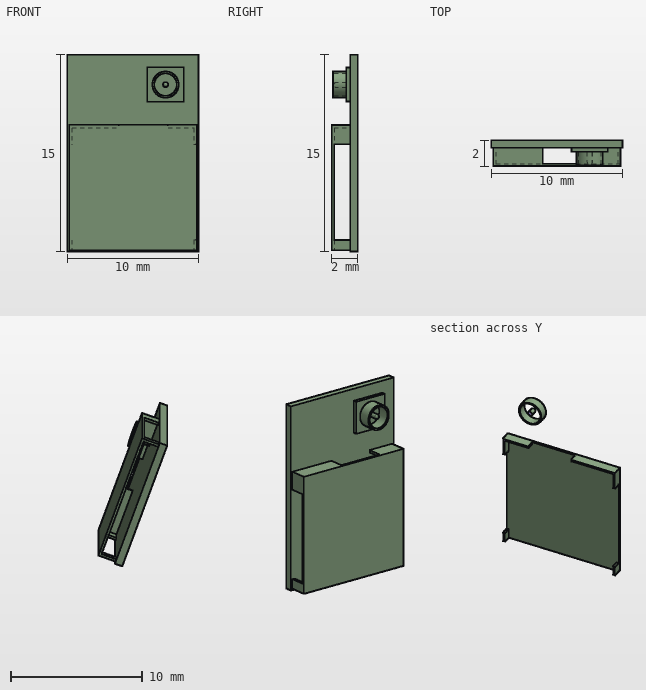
import cadquery as cq


BOARD_WIDTH = 10.0
BOARD_HEIGHT = 15.0
BOARD_THICKNESS = 0.6

SHIELD_WIDTH = 9.7
SHIELD_HEIGHT = 9.54
SHIELD_DEPTH = 1.4
SHIELD_BOTTOM = 0.1
SHIELD_WALL = 0.2
WINDOW_DEPTH = SHIELD_DEPTH - SHIELD_WALL
TOP_WINDOW_LEFT = 3.8
TOP_WINDOW_WIDTH = 3.7
SIDE_WINDOW_BOTTOM = 0.8
SIDE_WINDOW_HEIGHT = 7.28

CONNECTOR_X = 2.49
CONNECTOR_Z = 12.72
BASE_WIDTH = 2.76
BASE_HEIGHT = 2.61
BASE_THICKNESS = 0.3
SLEEVE_RADIUS = 1.0
SLEEVE_BORE_RADIUS = 0.85
SLEEVE_LENGTH = 1.0
PIN_RADIUS = 0.2
PIN_LENGTH = 0.95

SHIELD_LEFT = -SHIELD_WIDTH / 2
SHIELD_FRONT = -SHIELD_DEPTH


def box(left, front, bottom, width, depth, height):
    """Block given by its lowest corner and its size along X, Y and Z."""
    return cq.Workplane("XY").box(width, depth, height, centered=False).translate((left, front, bottom))


def forward_cylinder(radius, length):
    """Cylinder on the connector axis, from the base front towards -Y."""
    plane = cq.Workplane("XZ", origin=(CONNECTOR_X, -BASE_THICKNESS, CONNECTOR_Z))
    return plane.circle(radius).extrude(length)


def make_connector_pin():
    """Centre contact with a hemispherical tip."""
    shank_length = PIN_LENGTH - PIN_RADIUS
    tip_centre = (CONNECTOR_X, -BASE_THICKNESS - shank_length, CONNECTOR_Z)
    tip = cq.Workplane("XY").sphere(PIN_RADIUS).translate(tip_centre)
    return forward_cylinder(PIN_RADIUS, shank_length).union(tip)


def make_connector():
    """Square base, hollow sleeve and centre pin."""
    base = box(
        CONNECTOR_X - BASE_WIDTH / 2, -BASE_THICKNESS, CONNECTOR_Z - BASE_HEIGHT / 2,
        BASE_WIDTH, BASE_THICKNESS, BASE_HEIGHT,
    )
    sleeve = forward_cylinder(SLEEVE_RADIUS, SLEEVE_LENGTH)
    bore = forward_cylinder(SLEEVE_BORE_RADIUS, SLEEVE_LENGTH)
    return base.union(sleeve.cut(bore)).union(make_connector_pin())


def make_board():
    """Flat board that carries the connector as one piece."""
    plate = box(-BOARD_WIDTH / 2, 0, 0, BOARD_WIDTH, BOARD_THICKNESS, BOARD_HEIGHT)
    return plate.union(make_connector())


def make_shield():
    """Thin-walled can, open at the board and at its lower end, with windows in the other walls."""
    can = box(SHIELD_LEFT, SHIELD_FRONT, SHIELD_BOTTOM, SHIELD_WIDTH, SHIELD_DEPTH, SHIELD_HEIGHT)
    inner_front = SHIELD_FRONT + SHIELD_WALL
    cavity = box(
        SHIELD_LEFT + SHIELD_WALL, inner_front, SHIELD_BOTTOM,
        SHIELD_WIDTH - 2 * SHIELD_WALL, WINDOW_DEPTH, SHIELD_HEIGHT - SHIELD_WALL,
    )
    top_window = box(
        SHIELD_LEFT + TOP_WINDOW_LEFT, inner_front, SHIELD_BOTTOM,
        TOP_WINDOW_WIDTH, WINDOW_DEPTH, SHIELD_HEIGHT,
    )
    side_windows = box(
        SHIELD_LEFT, inner_front, SHIELD_BOTTOM + SIDE_WINDOW_BOTTOM,
        SHIELD_WIDTH, WINDOW_DEPTH, SIDE_WINDOW_HEIGHT,
    )
    return can.cut(cavity).cut(top_window).cut(side_windows)


board = make_board()
shield = make_shield()

result = cq.Compound.makeCompound([board.val(), shield.val()])